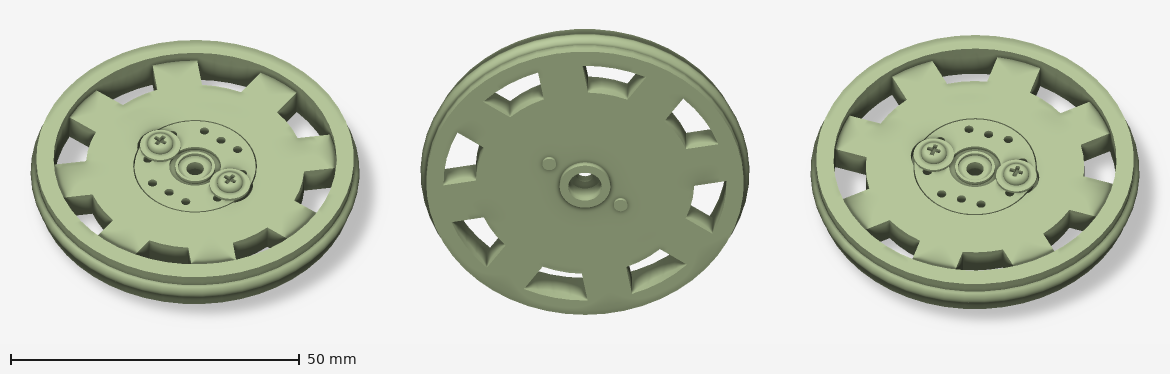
import cadquery as cq
import math


rim_dia = 55.0
rim_inner_dia = 49.0
wheel_height = 7.0
web_height = 5.0
slot_count = 8
slot_root_dia = 37.85
spoke_width = 7.8
pocket_dia = 21.45
washer_clearance_dia = 8.0

tyre_outer_dia = 57.0
tyre_section_dia = 3.0

disc_dia = 21.0
disc_thickness = 2.0
boss_dia = 8.8
boss_protrusion = 1.1
collar_groove_dia = 8.95
collar_dia = 6.9
collar_recess_dia = 5.9
collar_groove_depth = 0.75
collar_recess_depth = 0.6
bore_dia = 3.0
bore_length = 1.7
socket_dia = 5.8
mount_hole_dia = 1.6
mount_row_offset = 7.5
mount_hole_pitch = 3.6
mount_angle = 22.5

shank_dia = 2.4
shank_protrusion = 0.55
washer_dia = 7.0
washer_thickness = 0.5
head_dia = 4.4
head_height = 1.2
head_flat_dia = 2.4
cross_width = 0.75
cross_depth = 1.0

pocket_floor = web_height - disc_thickness
slot_angle = 360 / slot_count
screw_points = [
    (
        side * mount_row_offset * math.cos(math.radians(mount_angle)),
        side * mount_row_offset * math.sin(math.radians(mount_angle)),
    )
    for side in (-1, 1)
]


def cylinder(diameter, bottom, top):
    """An upright cylinder on the wheel axis between two heights."""
    return cq.Workplane("XY").workplane(offset=bottom).circle(diameter / 2).extrude(top - bottom)


def screw_cylinders(diameter, bottom, top):
    """Upright cylinders at both screw places between two heights."""
    plane = cq.Workplane("XY").workplane(offset=bottom)
    return plane.pushPoints(screw_points).circle(diameter / 2).extrude(top - bottom)


def make_tyre():
    """A ring of round section at half the wheel height."""
    path_radius = (tyre_outer_dia - tyre_section_dia) / 2
    section = cq.Workplane("XZ").center(path_radius, wheel_height / 2).circle(tyre_section_dia / 2)
    return section.revolve(360, (-path_radius, 0), (-path_radius, 1))


def make_slots():
    """Openings between parallel-sided spokes, from the slot root out to the rim."""
    slots = cylinder(rim_inner_dia, 0, web_height).cut(cylinder(slot_root_dia, 0, web_height))
    for index in range(slot_count):
        spoke = (
            cq.Workplane("XY")
            .center(rim_dia / 4, 0)
            .rect(rim_dia / 2, spoke_width)
            .extrude(web_height)
            .rotate((0, 0, 0), (0, 0, 1), (index + 0.5) * slot_angle)
        )
        slots = slots.cut(spoke)
    return slots


def make_wheel(tyre):
    """A rim and web, open for the slots, the hub and the screws and grooved for the tyre."""
    wheel = cylinder(rim_dia, 0, wheel_height).cut(cylinder(rim_inner_dia, web_height, wheel_height))
    wheel = wheel.cut(make_slots())
    wheel = wheel.cut(cylinder(pocket_dia, pocket_floor, web_height))
    wheel = wheel.cut(screw_cylinders(washer_clearance_dia, pocket_floor, web_height))
    wheel = wheel.cut(cylinder(boss_dia, 0, web_height))
    wheel = wheel.cut(screw_cylinders(shank_dia, 0, web_height))
    return wheel.cut(tyre)


def make_mount_holes():
    """Two rows of three holes beside the screw line, and a hole on either side of each screw."""
    points = [
        (along * mount_hole_pitch, side * mount_row_offset)
        for along in (-1, 0, 1)
        for side in (-1, 1)
    ]
    points += [
        (side * mount_row_offset, across * mount_hole_pitch)
        for side in (-1, 1)
        for across in (-1, 1)
    ]
    plane = cq.Workplane("XY").workplane(offset=pocket_floor)
    holes = plane.pushPoints(points).circle(mount_hole_dia / 2).extrude(disc_thickness)
    return holes.rotate((0, 0, 0), (0, 0, 1), mount_angle)


def make_hub():
    """A drilled disc with a boss below and a collar around its bore, with a wider shaft socket underneath."""
    hub = cylinder(disc_dia, pocket_floor, web_height)
    hub = hub.union(cylinder(boss_dia, -boss_protrusion, pocket_floor))
    groove_floor = web_height - collar_groove_depth
    groove = cylinder(collar_groove_dia, groove_floor, web_height)
    groove = groove.cut(cylinder(collar_dia, groove_floor, web_height))
    hub = hub.cut(groove)
    hub = hub.cut(cylinder(collar_recess_dia, web_height - collar_recess_depth, web_height))
    hub = hub.cut(cylinder(bore_dia, -boss_protrusion, web_height))
    socket_top = web_height - collar_recess_depth - bore_length
    hub = hub.cut(cylinder(socket_dia, -boss_protrusion, socket_top))
    hub = hub.cut(make_mount_holes())
    return hub.cut(screw_cylinders(shank_dia, pocket_floor, web_height))


def make_screw(place):
    """A round-headed screw with a fixed washer and a cross recess."""
    head_bottom = web_height + washer_thickness
    head_top = head_bottom + head_height
    screw = cylinder(shank_dia, -shank_protrusion, web_height)
    screw = screw.union(cylinder(washer_dia, web_height, head_bottom))
    head = cylinder(head_dia, head_bottom, head_top)
    screw = screw.union(head.faces(">Z").edges().fillet((head_dia - head_flat_dia) / 2))
    arms = cq.Workplane("XY").workplane(offset=head_top - cross_depth)
    cross = arms.rect(head_flat_dia, cross_width).extrude(cross_depth)
    cross = cross.union(arms.rect(cross_width, head_flat_dia).extrude(cross_depth))
    cross = cross.intersect(cylinder(head_flat_dia, head_top - cross_depth, head_top))
    screw = screw.cut(cross.rotate((0, 0, 0), (0, 0, 1), mount_angle))
    return screw.translate((*place, 0))


tyre = make_tyre()
wheel = make_wheel(tyre)
hub = make_hub()
screws = [make_screw(place) for place in screw_points]

result = cq.Compound.makeCompound(
    [wheel.val(), tyre.val(), hub.val(), *[screw.val() for screw in screws]]
)